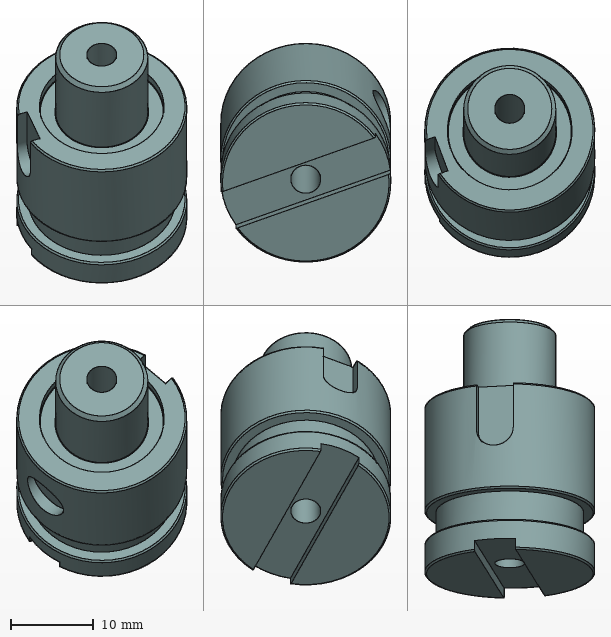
import cadquery as cq

total_height = 30.5
flange_top = 3.78
body_bottom = 7.7
body_top = 20.98

outer_diameter = 20.5
neck_diameter = 17.8
shaft_diameter = 11.1
bore_diameter = 3.6
edge_chamfer = 0.2
shaft_chamfer = 0.5

recess_diameter = 15.0
recess_depth = 1.0

relief_width = 0.1
relief_depth = 0.1

keyway_width = 4.5
keyway_bottom = 13.1
keyway_depth = 1.5

pocket_diameter = 5.98
pocket_height = 14.6
pocket_depth = keyway_depth

slot_width = 5.0
slot_depth = 1.3

outer_radius = outer_diameter / 2


def cylinder(diameter, bottom, top):
    """Upright cylinder on the Z axis."""
    return cq.Workplane("XY").workplane(offset=bottom).circle(diameter / 2).extrude(top - bottom)


def ring(outer, inner, bottom, top):
    """Upright tube on the Z axis, given by its two diameters."""
    return cylinder(outer, bottom, top).cut(cylinder(inner, bottom, top))


def make_floor_reliefs():
    floor = body_top - recess_depth
    bottom = floor - relief_depth
    inner_relief = ring(shaft_diameter + 2 * relief_width, shaft_diameter, bottom, floor)
    outer_relief = ring(recess_diameter, recess_diameter - 2 * relief_width, bottom, floor)
    return inner_relief.union(outer_relief)


def make_turned_body():
    flange = cylinder(outer_diameter, 0, flange_top).edges().chamfer(edge_chamfer)
    neck = cylinder(neck_diameter, flange_top / 2, body_bottom + edge_chamfer)
    body = cylinder(outer_diameter, body_bottom, body_top).edges().chamfer(edge_chamfer)
    recess = cylinder(recess_diameter, body_top - recess_depth, body_top)
    shaft = cylinder(shaft_diameter, body_bottom, total_height).faces(">Z").chamfer(shaft_chamfer)
    bore = cylinder(bore_diameter, 0, total_height)
    return flange.union(neck).union(body).cut(recess).union(shaft).cut(bore)


def make_keyway():
    end_center = keyway_bottom + keyway_width / 2
    straight_length = body_top - end_center
    floor = cq.Workplane("XZ").workplane(offset=outer_radius - keyway_depth)
    round_end = floor.center(0, end_center).circle(keyway_width / 2).extrude(keyway_depth)
    straight = (
        floor.center(0, end_center + straight_length / 2)
        .rect(keyway_width, straight_length)
        .extrude(keyway_depth)
    )
    return round_end.union(straight)


def make_side_pocket():
    return (
        cq.Workplane("XZ", origin=(0, outer_radius, 0))
        .center(0, pocket_height)
        .circle(pocket_diameter / 2)
        .extrude(pocket_depth)
    )


def make_bottom_slot():
    return cq.Workplane("XY").rect(slot_width, outer_diameter).extrude(slot_depth)


result = (
    make_turned_body()
    .cut(make_floor_reliefs())
    .cut(make_keyway())
    .cut(make_side_pocket())
    .cut(make_bottom_slot())
)